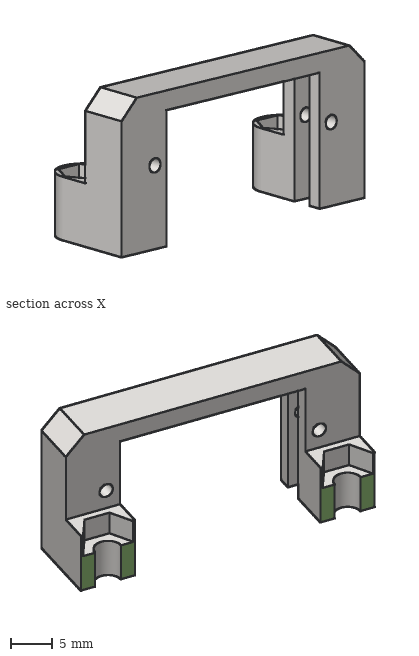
import cadquery as cq

length_x = 14.2
length_y = 40.0
height = 19.61
frame_thickness = 6.5
leg_width = 7.4
beam_height = 2.5
corner_chamfer = 2.5

boss_height = 8.0
boss_radius = leg_width / 2
bolt_diameter = 3.5
nut_across_corners = 6.8
nut_depth = 3.0

slot_front_wall = 1.95
slot_back_wall = 1.85
screw_diameter = 1.8
screw_inset = 5.5
screw_height = 10.55

frame_front = length_x - frame_thickness
opening_width = length_y - 2 * leg_width
opening_height = height - beam_height
boss_x = boss_radius
leg_center_y = (length_y - leg_width) / 2
screw_y = length_y / 2 - screw_inset
slot_width = frame_thickness - slot_front_wall - slot_back_wall
slot_depth = 2 * (screw_y - opening_width / 2)


def box(x_min, y_center, size_x, size_y, size_z):
    """Box standing on z = 0, starting at x_min and centred on y_center."""
    blank = cq.Workplane("XY").box(size_x, size_y, size_z, centered=(False, True, False))
    return blank.translate((x_min, y_center, 0))


def make_frame():
    """Bridge-shaped frame with chamfered upper corners."""
    frame = box(frame_front, 0, frame_thickness, length_y, height)
    frame = frame.edges("|X and >Z").chamfer(corner_chamfer)
    return frame.cut(box(frame_front, 0, frame_thickness, opening_width, opening_height))


def make_boss(side):
    """Round-nosed foot reaching forward from a leg."""
    nose = (
        cq.Workplane("XY")
        .center(boss_x, side * leg_center_y)
        .circle(boss_radius)
        .extrude(boss_height)
    )
    neck = box(boss_x, side * leg_center_y, frame_front - boss_x, leg_width, boss_height)
    return nose.union(neck)


def make_bolt_and_nut_cut(side):
    """Vertical bolt hole with a hexagonal nut pocket, corners pointing along Y."""
    foot = cq.Workplane("XY").center(boss_x, side * leg_center_y)
    bolt = foot.circle(bolt_diameter / 2).extrude(boss_height)
    nut = (
        cq.Workplane("XY", origin=(boss_x, side * leg_center_y, boss_height - nut_depth))
        .transformed(rotate=(0, 0, 90))
        .polygon(6, nut_across_corners)
        .extrude(nut_depth)
    )
    return bolt.union(nut)


def make_slot_cut(side):
    """Slot open to the foot and to the opening, closed at the outer side of the leg."""
    slot_y = side * (opening_width + slot_depth) / 2
    return box(frame_front + slot_front_wall, slot_y, slot_width, slot_depth, opening_height)


def make_screw_cut(side):
    """Screw hole through both slot walls along X."""
    return (
        cq.Workplane("YZ", origin=(frame_front, side * screw_y, screw_height))
        .circle(screw_diameter / 2)
        .extrude(frame_thickness)
    )


result = make_frame()
for side in (-1, 1):
    result = result.union(make_boss(side))
    result = result.cut(make_bolt_and_nut_cut(side))
    result = result.cut(make_slot_cut(side))
    result = result.cut(make_screw_cut(side))